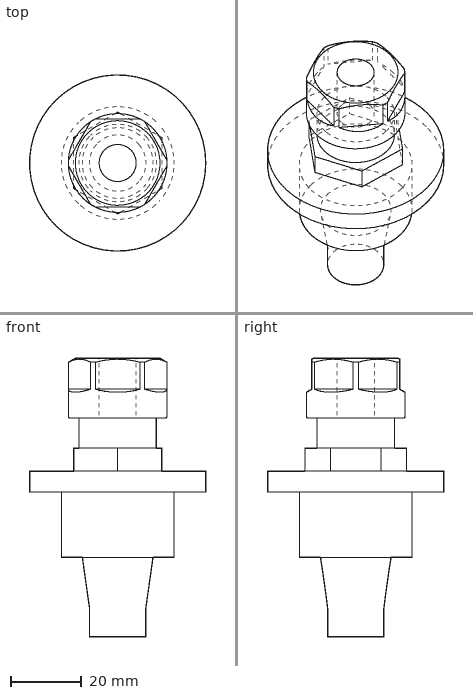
import cadquery as cq
import math

TOTAL_HEIGHT = 79.0
TIP_TOP = 8.0
TAPER_TOP = 22.5
FLANGE_BOTTOM = 41.0
FLANGE_TOP = 47.0
HEX_TOP = 53.5
NUT_BOTTOM = 62.0

TIP_DIAMETER = 16.0
TAPER_ANGLE = math.radians(8)
TAPER_DIAMETER = TIP_DIAMETER + 2 * (TAPER_TOP - TIP_TOP) * math.tan(TAPER_ANGLE)
SLEEVE_DIAMETER = 32.0
FLANGE_DIAMETER = 50.0
NECK_DIAMETER = 22.0

HEX_ACROSS_FLATS = 25.0

NUT_DIAMETER = 28.0
NUT_ACROSS_FLATS = 25.0
NUT_FACE_DIAMETER = 24.0
NUT_BEVEL_ANGLE = math.radians(30)
NUT_BOTTOM_FILLET = 0.5
FLAT_HEIGHT = 8.8
FLAT_COUNT = 6
BORE_DIAMETER = 10.5
BORE_DEPTH = TOTAL_HEIGHT - NUT_BOTTOM

CUT_MARGIN = 2.0


def cylinder(diameter, bottom, top):
    return cq.Workplane("XY").workplane(offset=bottom).circle(diameter / 2).extrude(top - bottom)


def make_taper():
    return (
        cq.Workplane("XY")
        .workplane(offset=TIP_TOP)
        .circle(TIP_DIAMETER / 2)
        .workplane(offset=TAPER_TOP - TIP_TOP)
        .circle(TAPER_DIAMETER / 2)
        .loft(ruled=True)
    )


def make_hexagon():
    """Hexagonal prism with two flats facing +X and -X."""
    across_corners = HEX_ACROSS_FLATS / math.cos(math.pi / 6)
    return (
        cq.Workplane("XY")
        .workplane(offset=FLANGE_TOP)
        .transformed(rotate=(0, 0, 90))
        .polygon(6, across_corners)
        .extrude(HEX_TOP - FLANGE_TOP)
    )


def make_nut_blank():
    """Round nut body: conical bevel on top, small rounding at the bottom edge."""
    radius = NUT_DIAMETER / 2
    face_radius = NUT_FACE_DIAMETER / 2
    bevel_height = (radius - face_radius) * math.tan(NUT_BEVEL_ANGLE)
    rounding_reach = NUT_BOTTOM_FILLET * math.sin(math.pi / 4)
    rounding_center = (radius - NUT_BOTTOM_FILLET, NUT_BOTTOM + NUT_BOTTOM_FILLET)
    rounding_middle = (rounding_center[0] + rounding_reach, rounding_center[1] - rounding_reach)
    profile = (
        cq.Workplane("XZ")
        .moveTo(0, NUT_BOTTOM)
        .lineTo(rounding_center[0], NUT_BOTTOM)
        .threePointArc(rounding_middle, (radius, rounding_center[1]))
        .lineTo(radius, TOTAL_HEIGHT - bevel_height)
        .lineTo(face_radius, TOTAL_HEIGHT)
        .lineTo(0, TOTAL_HEIGHT)
        .close()
    )
    return profile.revolve(360, (0, 0, 0), (0, 1, 0))


def make_flat_cutter():
    """Cutter for the flat facing +Y; its floor slopes down and outwards."""
    flat_distance = NUT_ACROSS_FLATS / 2
    outer_distance = NUT_DIAMETER / 2 + CUT_MARGIN
    flat_bottom = TOTAL_HEIGHT - FLAT_HEIGHT
    floor_drop = (outer_distance - flat_distance) * math.tan(NUT_BEVEL_ANGLE)
    cutter_top = TOTAL_HEIGHT + CUT_MARGIN
    section = [
        (flat_distance, flat_bottom),
        (outer_distance, flat_bottom - floor_drop),
        (outer_distance, cutter_top),
        (flat_distance, cutter_top),
    ]
    return cq.Workplane("YZ").polyline(section).close().extrude(NUT_DIAMETER / 2, both=True)


def make_nut():
    nut = make_nut_blank()
    cutter = make_flat_cutter()
    for index in range(FLAT_COUNT):
        nut = nut.cut(cutter.rotate((0, 0, 0), (0, 0, 1), index * 360 / FLAT_COUNT))
    return nut


body = (
    cylinder(TIP_DIAMETER, 0, TIP_TOP)
    .union(make_taper())
    .union(cylinder(SLEEVE_DIAMETER, TAPER_TOP, FLANGE_BOTTOM))
    .union(cylinder(FLANGE_DIAMETER, FLANGE_BOTTOM, FLANGE_TOP))
    .union(make_hexagon())
    .union(cylinder(NECK_DIAMETER, HEX_TOP, NUT_BOTTOM))
    .union(make_nut())
)

result = body.cut(cylinder(BORE_DIAMETER, TOTAL_HEIGHT - BORE_DEPTH, TOTAL_HEIGHT))